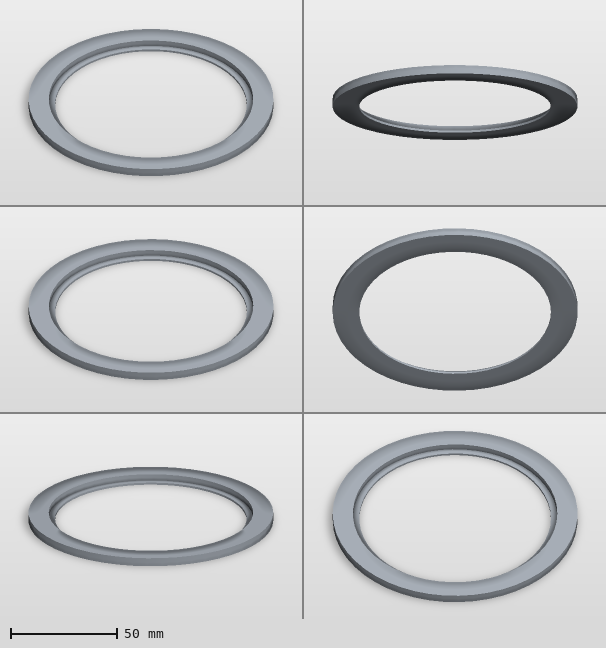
import cadquery as cq

outer_diameter = 115.0
thickness = 4.0
recess_diameter = 96.0
bore_diameter = 90.0
lip_thickness = 1.0
recess_depth = thickness - lip_thickness

ring = cq.Workplane("XY").circle(outer_diameter / 2).extrude(thickness)

result = ring.faces(">Z").workplane().cboreHole(bore_diameter, recess_diameter, recess_depth)